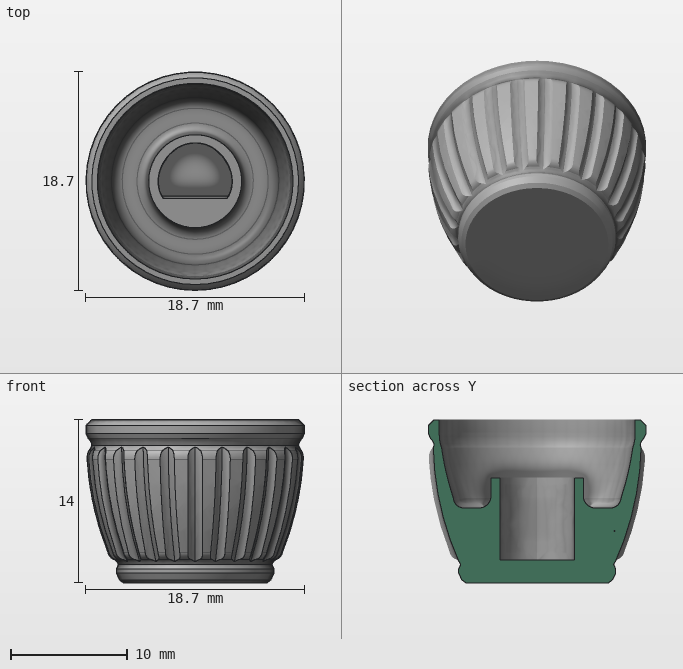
import math

import cadquery as cq

SECTION = cq.Plane(origin=(0, 0, 0), xDir=(0, -1, 0), normal=(-1, 0, 0))

HEIGHT = 14.0
RIM_RADIUS = 9.35

RIM_CHAMFER = 0.5
RIM_BOTTOM_Z = 12.8
NECK_TOP_RADIUS = 9.17
NECK_TOP_Z = 12.4
NECK_RADIUS = 8.85
NECK_Z = 11.8
SHOULDER_RADIUS = 9.12
SHOULDER_Z = 11.33
NECK_HOLLOW = 0.06
SHOULDER_HOLLOW = 0.03
SHOULDER_BULGE = 0.05

BODY_ARC_RADIUS = 25.63
BODY_ARC_CENTRE_R = -16.3
BODY_ARC_CENTRE_Z = 12.15
BODY_TOP_Z = 10.6
BODY_BOTTOM_Z = 2.63

HIP_RADIUS = 6.9
HIP_Z = 2.0
HIP_BULGE = 0.12
ANKLE_RADIUS = 6.58
ANKLE_Z = 1.58
ANKLE_BULGE = 0.05
FOOT_RADIUS = 6.75
FOOT_TOP_Z = 1.21
FOOT_BOTTOM_Z = 0.85
SOLE_EDGE_RADIUS = 6.48
SOLE_EDGE_Z = 0.27
SOLE_RADIUS = 6.12

FLUTE_COUNT = 24
FLUTE_WIDTH = 1.29
FLUTE_DEPTH = 0.41
FLUTE_WALL_BULGE = 0.085
FLUTE_OVERCUT = 0.3

MOUTH_RADIUS = 8.38
MOUTH_BOTTOM_Z = 12.86
CUP_NECK_RADIUS = 8.18
CUP_NECK_Z = 11.6
CUP_NECK_BULGE = 0.06
CUP_WALL_RADIUS = 7.17
CUP_WALL_BOTTOM_Z = 7.27
CUP_WALL_BULGE = 0.1
FLOOR_Z = 6.45
FLOOR_OUTER_RADIUS = 6.25
FLOOR_FILLET_BULGE = 0.25

BOSS_RADIUS = 3.98
BOSS_TOP_Z = 9.0
BOSS_FILLET = 1.0

BORE_SIDE_RADIUS = 3.18
BORE_PEAK_Y = 3.29
BORE_SHOULDER_ANGLE = 45.0
BORE_FLAT_Y = -1.5
BORE_FLAT_HALF_WIDTH = 2.72
BORE_FLAT_LEAN = 0.24
BORE_BOTTOM_Z = 2.0


def bulge_point(start, end, bulge):
    """Middle of the arc from start to end, lying `bulge` to the right of the chord."""
    dx = end[0] - start[0]
    dy = end[1] - start[1]
    chord = math.hypot(dx, dy)
    return (
        (start[0] + end[0]) / 2 + bulge * dy / chord,
        (start[1] + end[1]) / 2 - bulge * dx / chord,
    )


def arc_to(sketch, start, end, bulge):
    return sketch.threePointArc(bulge_point(start, end, bulge), end)


def body_point(z):
    radius = BODY_ARC_CENTRE_R + math.sqrt(BODY_ARC_RADIUS**2 - (z - BODY_ARC_CENTRE_Z) ** 2)
    return (radius, z)


def revolve_section(sketch):
    return sketch.close().revolve(360, (0, 0), (0, 1))


def outer_form():
    neck_top = (NECK_TOP_RADIUS, NECK_TOP_Z)
    neck = (NECK_RADIUS, NECK_Z)
    shoulder = (SHOULDER_RADIUS, SHOULDER_Z)
    body_top = body_point(BODY_TOP_Z)
    body_middle = body_point((BODY_TOP_Z + BODY_BOTTOM_Z) / 2)
    body_bottom = body_point(BODY_BOTTOM_Z)
    hip = (HIP_RADIUS, HIP_Z)
    ankle = (ANKLE_RADIUS, ANKLE_Z)

    sketch = cq.Workplane(SECTION).moveTo(0, HEIGHT).lineTo(RIM_RADIUS - RIM_CHAMFER, HEIGHT)
    sketch = sketch.lineTo(RIM_RADIUS, HEIGHT - RIM_CHAMFER).lineTo(RIM_RADIUS, RIM_BOTTOM_Z)
    sketch = sketch.lineTo(*neck_top)
    sketch = arc_to(sketch, neck_top, neck, NECK_HOLLOW)
    sketch = arc_to(sketch, neck, shoulder, SHOULDER_HOLLOW)
    sketch = arc_to(sketch, shoulder, body_top, -SHOULDER_BULGE)
    sketch = sketch.threePointArc(body_middle, body_bottom)
    sketch = arc_to(sketch, body_bottom, hip, -HIP_BULGE)
    sketch = arc_to(sketch, hip, ankle, ANKLE_BULGE)
    sketch = sketch.lineTo(FOOT_RADIUS, FOOT_TOP_Z).lineTo(FOOT_RADIUS, FOOT_BOTTOM_Z)
    sketch = sketch.lineTo(SOLE_EDGE_RADIUS, SOLE_EDGE_Z).lineTo(SOLE_RADIUS, 0).lineTo(0, 0)
    return revolve_section(sketch)


def cup():
    """Space inside the cup, with the boss left standing in the middle."""
    mouth = (MOUTH_RADIUS, MOUTH_BOTTOM_Z)
    cup_neck = (CUP_NECK_RADIUS, CUP_NECK_Z)
    wall = (CUP_WALL_RADIUS, CUP_WALL_BOTTOM_Z)
    floor_outer = (FLOOR_OUTER_RADIUS, FLOOR_Z)
    floor_inner = (BOSS_RADIUS + BOSS_FILLET, FLOOR_Z)
    boss_foot = (BOSS_RADIUS, FLOOR_Z + BOSS_FILLET)
    boss_fillet_bulge = BOSS_FILLET * (1 - math.sqrt(0.5))

    sketch = cq.Workplane(SECTION).moveTo(0, HEIGHT).lineTo(MOUTH_RADIUS, HEIGHT).lineTo(*mouth)
    sketch = arc_to(sketch, mouth, cup_neck, -CUP_NECK_BULGE)
    sketch = arc_to(sketch, cup_neck, wall, -CUP_WALL_BULGE)
    sketch = arc_to(sketch, wall, floor_outer, -FLOOR_FILLET_BULGE)
    sketch = sketch.lineTo(*floor_inner)
    sketch = arc_to(sketch, floor_inner, boss_foot, -boss_fillet_bulge)
    sketch = sketch.lineTo(BOSS_RADIUS, BOSS_TOP_Z).lineTo(0, BOSS_TOP_Z)
    return revolve_section(sketch)


def bore():
    shoulder_x = BORE_SIDE_RADIUS * math.cos(math.radians(BORE_SHOULDER_ANGLE))
    shoulder_y = BORE_SIDE_RADIUS * math.sin(math.radians(BORE_SHOULDER_ANGLE))
    flank = [
        (BORE_FLAT_HALF_WIDTH, BORE_FLAT_Y),
        (BORE_SIDE_RADIUS, 0),
        (shoulder_x, shoulder_y),
        (0, BORE_PEAK_Y),
    ]
    mirrored_flank = [(-x, y) for x, y in reversed(flank)]
    sketch = cq.Workplane("XY", origin=(0, 0, BORE_BOTTOM_Z)).spline(flank).spline(mirrored_flank)
    hole = sketch.close().extrude(BOSS_TOP_Z - BORE_BOTTOM_Z)

    lean_wedge = (
        cq.Workplane("YZ")
        .moveTo(BORE_FLAT_Y, BOSS_TOP_Z)
        .lineTo(BORE_FLAT_Y, BORE_BOTTOM_Z)
        .lineTo(BORE_FLAT_Y + BORE_FLAT_LEAN, BORE_BOTTOM_Z)
        .close()
        .extrude(BORE_SIDE_RADIUS, both=True)
    )
    return hole.cut(lean_wedge)


def flute_cutter():
    """Flute section swept along the body arc on the -Y side, from the neck down to the ankle."""
    crease_radius = BODY_ARC_RADIUS - FLUTE_DEPTH
    outer_radius = BODY_ARC_RADIUS + FLUTE_OVERCUT
    top_angle = math.degrees(math.asin((BODY_ARC_CENTRE_Z - NECK_Z) / crease_radius))
    bottom_angle = math.degrees(math.asin((BODY_ARC_CENTRE_Z - ANKLE_Z) / crease_radius))

    arc_centre = cq.Vector(0, -BODY_ARC_CENTRE_R, BODY_ARC_CENTRE_Z)
    level = cq.Plane(origin=arc_centre.toTuple(), xDir=(1, 0, 0), normal=(0, 0, -1))
    half_width = FLUTE_WIDTH / 2
    left_lip = (-half_width, BODY_ARC_RADIUS)
    crease = (0, crease_radius)
    right_lip = (half_width, BODY_ARC_RADIUS)
    sketch = cq.Workplane(level).moveTo(*left_lip)
    sketch = arc_to(sketch, left_lip, crease, FLUTE_WALL_BULGE)
    sketch = arc_to(sketch, crease, right_lip, FLUTE_WALL_BULGE)
    sketch = sketch.lineTo(half_width, outer_radius).lineTo(-half_width, outer_radius).close()

    cutter = sketch.revolve(bottom_angle - top_angle, (0, 0), (1, 0))
    return cutter.val().rotate(arc_centre, arc_centre + cq.Vector(1, 0, 0), top_angle)


def cut_flutes(part):
    cutter = flute_cutter()
    pitch = 360 / FLUTE_COUNT
    axis_top = cq.Vector(0, 0, HEIGHT)
    flutes = [cutter.rotate(cq.Vector(), axis_top, index * pitch) for index in range(FLUTE_COUNT)]
    return part.cut(cq.Workplane(cq.Compound.makeCompound(flutes)))


result = cut_flutes(outer_form()).cut(cup()).cut(bore())